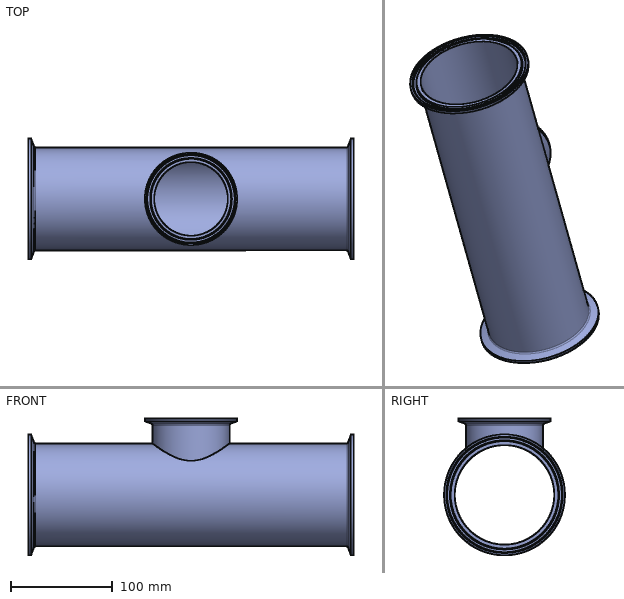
import cadquery as cq
import math

run_length = 320.0
run_outer_radius = 101.5 / 2
run_bore_radius = 97.5 / 2
run_flange_radius = 119.0 / 2
run_groove_radius = 55.0

total_height = 134.7
branch_top = total_height - run_flange_radius
branch_outer_radius = 76.0 / 2
branch_bore_radius = 72.3 / 2
branch_flange_radius = 91.0 / 2
branch_groove_radius = 41.5

rim_thickness = 3.0
back_angle = math.radians(20)
neck_fillet = 1.5
groove_half_width = 2.2
groove_floor_half_width = 1.3
groove_depth = 1.5


def pipe_body(radius, length):
    """Solid cylinder from the origin along -Z."""
    return cq.Workplane("XY").circle(radius).extrude(-length)


def clamp_flange(pipe_radius, flange_radius, groove_radius):
    """Flange with its face at Z = 0, a tapered back filleted to the pipe, and a gasket groove."""
    cone_depth = rim_thickness + (flange_radius - pipe_radius) * math.tan(back_angle)

    turn = math.pi / 2 - back_angle
    tangent_length = neck_fillet * math.tan(turn / 2)
    neck_end = cone_depth + tangent_length
    fillet_center_radius = pipe_radius + neck_fillet
    taper_end = (
        pipe_radius + tangent_length * math.cos(back_angle),
        -cone_depth + tangent_length * math.sin(back_angle),
    )
    fillet_middle = (
        fillet_center_radius - neck_fillet * math.cos(turn / 2),
        -neck_end + neck_fillet * math.sin(turn / 2),
    )
    return (
        cq.Workplane("XZ")
        .lineTo(groove_radius - groove_half_width, 0)
        .lineTo(groove_radius - groove_floor_half_width, -groove_depth)
        .lineTo(groove_radius + groove_floor_half_width, -groove_depth)
        .lineTo(groove_radius + groove_half_width, 0)
        .lineTo(flange_radius, 0)
        .lineTo(flange_radius, -rim_thickness)
        .lineTo(*taper_end)
        .threePointArc(fillet_middle, (pipe_radius, -neck_end))
        .lineTo(0, -neck_end)
        .close()
        .revolve(360, (0, 0, 0), (0, 1, 0))
    )


def place_on_run_end(body, side):
    """Turn a +Z facing body to face along X at one end of the run; side is +1 or -1."""
    turned = body.rotate((0, 0, 0), (0, 1, 0), side * 90)
    return turned.translate((side * run_length / 2, 0, 0))


run_body_length = run_length - 2 * rim_thickness
run_body = pipe_body(run_outer_radius, run_body_length).translate((0, 0, -rim_thickness))
tee = place_on_run_end(run_body, 1)
branch_body = pipe_body(branch_outer_radius, branch_top - rim_thickness)
tee = tee.union(branch_body.translate((0, 0, branch_top - rim_thickness)))

run_flange = clamp_flange(run_outer_radius, run_flange_radius, run_groove_radius)
for side in (-1, 1):
    tee = tee.union(place_on_run_end(run_flange, side))
branch_flange = clamp_flange(branch_outer_radius, branch_flange_radius, branch_groove_radius)
tee = tee.union(branch_flange.translate((0, 0, branch_top)))

run_bore = place_on_run_end(pipe_body(run_bore_radius, run_length), 1)
branch_bore = pipe_body(branch_bore_radius, branch_top).translate((0, 0, branch_top))
result = tee.cut(run_bore).cut(branch_bore)